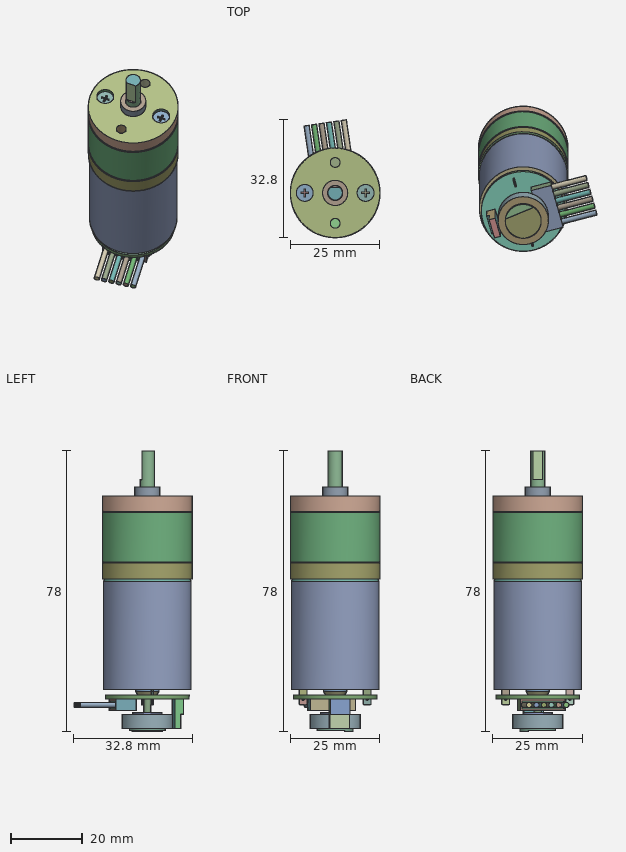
import cadquery as cq
import math


SHAFT_RADIUS = 2.0
SHAFT_TOP = 12.5
FLAT_DISTANCE = 1.5
FLAT_LENGTH = 8.0
BOSS_RADIUS = 3.5
BOSS_TOP = 2.5
BOSS_BORE_RADIUS = 2.1

GEARBOX_RADIUS = 12.5
GEARBOX_BOTTOM = -23.1
GROOVE_CENTERS = (-4.45, -18.5)
GROOVE_WIDTH = 0.3
GROOVE_DEPTH = 0.2
FASTENER_OFFSET = 8.45
MOUNT_HOLE_RADIUS = 1.35
MOUNT_HOLE_DEPTH = 4.0
SCREW_RECESS_RADIUS = 2.35
SCREW_RECESS_DEPTH = 1.0
CROSS_LENGTH = 2.2
CROSS_WIDTH = 0.4
CROSS_DEPTH = 0.5

MOTOR_RADIUS = 12.2
MOTOR_BOTTOM = -53.8
MOTOR_SHOULDER_HEIGHT = 0.65
MOTOR_SHOULDER_INSET = 0.3
BEARING_RADIUS = 3.25
BEARING_NECK_RADIUS = 2.7
BEARING_RIM_BOTTOM = MOTOR_BOTTOM - 0.6

BOARD_TURN = 8.4
BOARD_RADIUS = 11.65
BOARD_TOP = -55.3
BOARD_BOTTOM = -56.5
TERMINAL_OFFSET = 9.0
TERMINAL_WIDTH = 2.2
TERMINAL_THICKNESS = 0.4
TERMINAL_BOTTOM = -58.1
TERMINAL_CHAMFER = 0.3
TERMINAL_HOLE_RADIUS = 0.3
CONNECTOR_WIDTH = 12.65
CONNECTOR_DEPTH = 5.75
CONNECTOR_OFFSET = 6.9
CONNECTOR_BOTTOM = -59.7
CONNECTOR_WALL = 0.45
CONNECTOR_SOCKET_DEPTH = 0.3
SENSOR_WIDTH = 5.5
SENSOR_BACK = -7.35
SENSOR_BASE_DEPTH = 2.45
SENSOR_BASE_BOTTOM = -60.7
SENSOR_BODY_DEPTH = 1.7
SENSOR_BODY_BOTTOM = -64.7

WIRE_COUNT = 6
WIRE_PITCH = 2.09
WIRE_RADIUS = 0.75
WIRE_Z = -58.1
WIRE_END = 19.67
WIRE_ROW_SHIFT = 0.1

REAR_SHAFT_RADIUS = 1.0
MAGNET_RADIUS = 7.0
MAGNET_TOP = -60.7
MAGNET_BOTTOM = -64.7
HUB_TOP = -60.2
HUB_TOP_RADIUS = 4.1
HUB_BOTTOM = -65.25
HUB_BOTTOM_RADIUS = 5.0
HUB_LIP_BOTTOM = -65.5
HUB_LIP_START = 2.6


def cylinder(radius, bottom, top, x=0.0, y=0.0):
    """Upright cylinder between two heights."""
    return cq.Workplane("XY", origin=(x, y, bottom)).circle(radius).extrude(top - bottom)


def block(x_size, y_size, bottom, top, x=0.0, y=0.0):
    """Upright block between two heights, centred on (x, y)."""
    return cq.Workplane("XY", origin=(x, y, bottom)).rect(x_size, y_size).extrude(top - bottom)


def make_output_shaft():
    shaft = cylinder(SHAFT_RADIUS, 0, SHAFT_TOP)
    removed_depth = SHAFT_RADIUS
    flat_cut = block(
        2 * SHAFT_RADIUS, removed_depth, SHAFT_TOP - FLAT_LENGTH, SHAFT_TOP,
        y=FLAT_DISTANCE + removed_depth / 2,
    )
    boss = cylinder(BOSS_RADIUS, 0, BOSS_TOP).cut(cylinder(BOSS_BORE_RADIUS, 0, BOSS_TOP))
    return shaft.cut(flat_cut).union(boss)


def make_gearbox():
    gearbox = cylinder(GEARBOX_RADIUS, GEARBOX_BOTTOM, 0)
    for center in GROOVE_CENTERS:
        bottom = center - GROOVE_WIDTH / 2
        top = center + GROOVE_WIDTH / 2
        core = cylinder(GEARBOX_RADIUS - GROOVE_DEPTH, bottom, top)
        gearbox = gearbox.cut(cylinder(GEARBOX_RADIUS, bottom, top).cut(core))
    cross_bottom = -SCREW_RECESS_DEPTH - CROSS_DEPTH
    for side in (-1, 1):
        offset = side * FASTENER_OFFSET
        gearbox = gearbox.cut(cylinder(MOUNT_HOLE_RADIUS, -MOUNT_HOLE_DEPTH, 0, y=offset))
        gearbox = gearbox.cut(cylinder(SCREW_RECESS_RADIUS, -SCREW_RECESS_DEPTH, 0, x=offset))
        gearbox = gearbox.cut(block(CROSS_LENGTH, CROSS_WIDTH, cross_bottom, 0, x=offset))
        gearbox = gearbox.cut(block(CROSS_WIDTH, CROSS_LENGTH, cross_bottom, 0, x=offset))
    return gearbox


def make_motor():
    """Motor can and rear bearing boss, revolved from one half profile."""
    return (
        cq.Workplane("XZ")
        .moveTo(0, GEARBOX_BOTTOM)
        .lineTo(MOTOR_RADIUS - MOTOR_SHOULDER_INSET, GEARBOX_BOTTOM)
        .lineTo(MOTOR_RADIUS, GEARBOX_BOTTOM - MOTOR_SHOULDER_HEIGHT)
        .lineTo(MOTOR_RADIUS, MOTOR_BOTTOM)
        .lineTo(BEARING_RADIUS, MOTOR_BOTTOM)
        .lineTo(BEARING_RADIUS, BEARING_RIM_BOTTOM)
        .lineTo(BEARING_NECK_RADIUS, BOARD_TOP)
        .lineTo(0, BOARD_TOP)
        .close()
        .revolve(360, (0, 0, 0), (0, 1, 0))
    )


def make_terminal(x):
    """Flat motor tab through the board, with a small eye and chamfered tip corners."""
    tab = block(TERMINAL_WIDTH, TERMINAL_THICKNESS, TERMINAL_BOTTOM, MOTOR_BOTTOM, x=x)
    tab = tab.faces("<Z").edges("|Y").chamfer(TERMINAL_CHAMFER)
    eye = (
        cq.Workplane("XZ", origin=(x, 0, BOARD_BOTTOM))
        .circle(TERMINAL_HOLE_RADIUS)
        .extrude(TERMINAL_THICKNESS, both=True)
    )
    return tab.cut(eye)


def make_connector():
    """Wire connector with a shallow socket in the face where the wires leave."""
    body = block(
        CONNECTOR_WIDTH, CONNECTOR_DEPTH, CONNECTOR_BOTTOM, BOARD_BOTTOM, y=CONNECTOR_OFFSET
    )
    rear_face = CONNECTOR_OFFSET + CONNECTOR_DEPTH / 2
    socket = block(
        CONNECTOR_WIDTH - 2 * CONNECTOR_WALL,
        CONNECTOR_SOCKET_DEPTH,
        CONNECTOR_BOTTOM + CONNECTOR_WALL,
        BOARD_BOTTOM - CONNECTOR_WALL,
        y=rear_face - CONNECTOR_SOCKET_DEPTH / 2,
    )
    return body.cut(socket)


def make_sensor():
    base = block(
        SENSOR_WIDTH, SENSOR_BASE_DEPTH, SENSOR_BASE_BOTTOM, BOARD_BOTTOM,
        y=SENSOR_BACK - SENSOR_BASE_DEPTH / 2,
    )
    body = block(
        SENSOR_WIDTH, SENSOR_BODY_DEPTH, SENSOR_BODY_BOTTOM, BOARD_BOTTOM,
        y=SENSOR_BACK - SENSOR_BODY_DEPTH / 2,
    )
    return base.union(body)


def make_wire(index):
    x = (index - (WIRE_COUNT - 1) / 2) * WIRE_PITCH + WIRE_ROW_SHIFT
    length = WIRE_END - CONNECTOR_OFFSET
    return cq.Workplane("XZ", origin=(x, WIRE_END, WIRE_Z)).circle(WIRE_RADIUS).extrude(length)


def make_encoder_board():
    board = cylinder(BOARD_RADIUS, BOARD_BOTTOM, BOARD_TOP)
    for side in (-1, 1):
        board = board.union(make_terminal(side * TERMINAL_OFFSET))
    board = board.union(make_connector()).union(make_sensor())
    for index in range(WIRE_COUNT):
        board = board.union(make_wire(index))
    return board.rotate((0, 0, 0), (0, 0, 1), BOARD_TURN)


def make_magnet():
    magnet = cylinder(REAR_SHAFT_RADIUS, MAGNET_TOP, BOARD_BOTTOM)
    magnet = magnet.union(cylinder(HUB_TOP_RADIUS, MAGNET_TOP, HUB_TOP))
    magnet = magnet.union(cylinder(MAGNET_RADIUS, MAGNET_BOTTOM, MAGNET_TOP))
    magnet = magnet.union(cylinder(HUB_BOTTOM_RADIUS, HUB_BOTTOM, MAGNET_BOTTOM))
    half_chord = math.sqrt(HUB_BOTTOM_RADIUS**2 - HUB_LIP_START**2)
    lip = (
        cq.Workplane("XY", origin=(0, 0, HUB_LIP_BOTTOM))
        .moveTo(HUB_LIP_START, -half_chord)
        .threePointArc((HUB_BOTTOM_RADIUS, 0), (HUB_LIP_START, half_chord))
        .close()
        .extrude(HUB_BOTTOM - HUB_LIP_BOTTOM)
    )
    return magnet.union(lip)


result = (
    make_gearbox()
    .union(make_output_shaft())
    .union(make_motor())
    .union(make_encoder_board())
    .union(make_magnet())
)